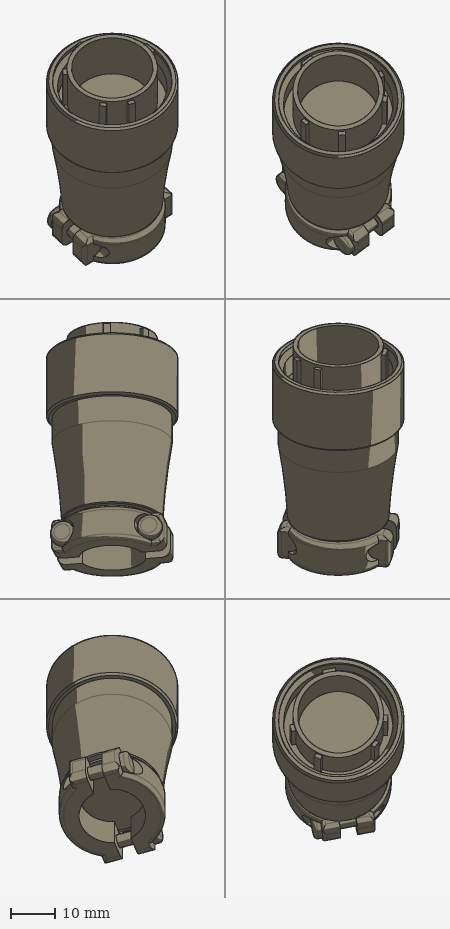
import cadquery as cq

total_height = 53.5

clamp_height = 8.0
clamp_radius = 12.05
clamp_bore_radius = 7.55
clamp_edge_radius = 1.0
lug_half_width = 6.1
lug_reach = 13.05
lug_corner_radius = 1.9
gap_width = 3.95

screw_positions = (-10.05, 10.05)
screw_height = clamp_height / 2
shank_radius = 1.55
head_radius = 2.85
head_height = 1.9
head_edge_radius = 0.95
head_pocket_radius = 3.0
far_pocket_radius = 2.05
far_pocket_height = 4.35

neck_radius = 10.05
lip_bottom = 8.85
lip_chamfer = 0.25
taper_bottom_radius = 11.5
taper_middle_radius = 12.3
taper_top = 28.05
body_radius = 13.65

collar_diameter = 29.85
collar_radius = collar_diameter / 2
collar_bottom = 34.15
collar_top = 49.3
collar_chamfer = 0.5
collar_mouth_radius = 13.55
collar_mouth_depth = 0.95
collar_inner_radius = 12.4
collar_floor = 42.4

ring_radius = 10.25
ring_bore_radius = 9.2
ring_floor = 41.4

key_top = 52.8
key_reach = 11.25
main_key_width = 3.0
main_key_angle = 90
small_key_width = 1.6
small_key_angles = (185, 234, 310, 345)


def shell():
    """Revolve the neck, taper, collar and socket ring about Z."""
    taper_bottom = lip_bottom + lip_chamfer
    taper_middle = (taper_bottom + taper_top) / 2
    mouth_floor = collar_top - collar_mouth_depth
    cone_depth = collar_mouth_radius - collar_inner_radius
    return (
        cq.Workplane("XZ")
        .moveTo(0, clamp_height)
        .lineTo(neck_radius, clamp_height)
        .lineTo(neck_radius, lip_bottom)
        .lineTo(taper_bottom_radius - lip_chamfer, lip_bottom)
        .lineTo(taper_bottom_radius, taper_bottom)
        .threePointArc((taper_middle_radius, taper_middle), (body_radius, taper_top))
        .lineTo(body_radius, collar_bottom)
        .lineTo(collar_radius - collar_chamfer, collar_bottom)
        .lineTo(collar_radius, collar_bottom + collar_chamfer)
        .lineTo(collar_radius, collar_top - collar_chamfer)
        .lineTo(collar_radius - collar_chamfer, collar_top)
        .lineTo(collar_mouth_radius, collar_top)
        .lineTo(collar_mouth_radius, mouth_floor)
        .lineTo(collar_inner_radius, mouth_floor - cone_depth)
        .lineTo(collar_inner_radius, collar_floor)
        .lineTo(ring_radius, collar_floor)
        .lineTo(ring_radius, total_height)
        .lineTo(ring_bore_radius, total_height)
        .lineTo(ring_bore_radius, ring_floor)
        .lineTo(0, ring_floor)
        .close()
        .revolve(360, (0, 0), (0, 1))
    )


def key(angle, width):
    """Axial key standing on the outside of the socket ring."""
    root = (ring_radius + ring_bore_radius) / 2
    return (
        cq.Workplane("XY")
        .box(key_reach - root, width, key_top - collar_floor, centered=(False, True, False))
        .translate((root, 0, collar_floor))
        .rotate((0, 0, 0), (0, 0, 1), angle)
    )


def x_cylinder(radius, x_start, x_end, y, z):
    """Cylinder along X between two X positions."""
    return (
        cq.Workplane("YZ", origin=(x_start, y, z))
        .circle(radius)
        .extrude(x_end - x_start)
    )


def lug_bar():
    """Bar across the clamp that forms the lugs, its roundings meeting in mitred corners."""
    blank = cq.Workplane("XY").box(
        2 * lug_half_width, 2 * lug_reach, clamp_height, centered=(True, True, False)
    )
    rounded_ends = blank.edges("|X").fillet(lug_corner_radius)
    rounded_uprights = blank.edges("|Z").fillet(clamp_edge_radius)
    rounded_sides = blank.edges("|Y").fillet(clamp_edge_radius)
    return rounded_ends.intersect(rounded_uprights).intersect(rounded_sides)


def clamp():
    """Split ring with two pairs of lugs and pockets beside them."""
    ring = (
        cq.Workplane("XY")
        .circle(clamp_radius)
        .extrude(clamp_height)
        .edges()
        .fillet(clamp_edge_radius)
    )
    body = ring.union(lug_bar())
    body = body.cut(cq.Workplane("XY").circle(clamp_bore_radius).extrude(clamp_height))
    gap = cq.Workplane("XY").box(
        gap_width, 2 * lug_reach, clamp_height, centered=(True, True, False)
    )
    body = body.cut(gap)
    for y in screw_positions:
        head_pocket = x_cylinder(
            head_pocket_radius, -clamp_radius, -lug_half_width, y, screw_height
        )
        far_pocket = x_cylinder(
            far_pocket_radius, lug_half_width, clamp_radius, y, far_pocket_height
        )
        body = body.cut(head_pocket).cut(far_pocket)
    return body


def screw(y):
    """Clamp screw with a rounded head against the -X lug."""
    head_face = -lug_half_width - head_height
    head = x_cylinder(head_radius, head_face, -lug_half_width, y, screw_height)
    shank = x_cylinder(shank_radius, -lug_half_width, lug_half_width, y, screw_height)
    head = head.faces("<X").edges().fillet(head_edge_radius)
    return head.union(shank)


result = shell().union(key(main_key_angle, main_key_width))
for angle in small_key_angles:
    result = result.union(key(angle, small_key_width))
result = result.union(clamp())
for y in screw_positions:
    result = result.union(screw(y))